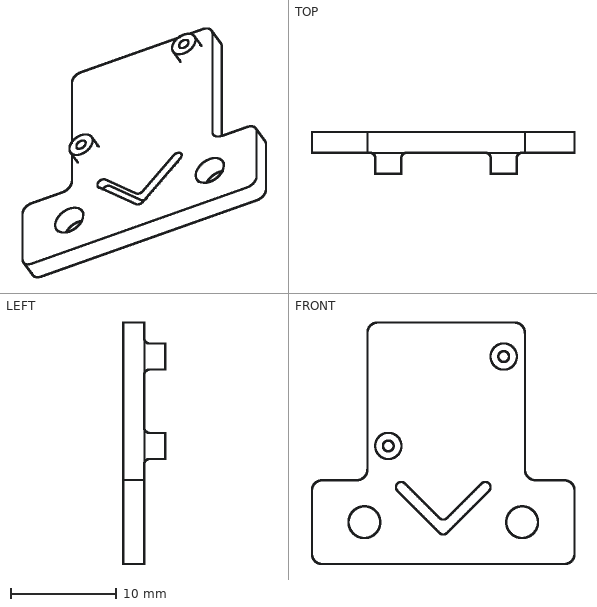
import cadquery as cq
import math

foot_width = 25
foot_height = 8
panel_width = 15
panel_offset = 0.28
total_height = 23
plate_thickness = 2
corner_radius = 1

mount_hole_diameter = 3
mount_hole_spacing = 15
mount_hole_height = foot_height / 2

pin_centres = [(-5.22, 11.25), (5.75, 19.75)]
pin_diameter = 2.5
pin_length = 2
pin_bore_diameter = 1
pin_root_radius = 0.5

groove_width = 1
groove_depth = 1
groove_half_span = 4
groove_tip_height = 3.32
groove_bend_radius = 0.5


def extrude_back(sketch, depth):
    """Extrude an XZ sketch towards +Y."""
    return sketch.extrude(-depth)


def make_plate():
    foot = cq.Workplane("XZ").center(0, foot_height / 2).rect(foot_width, foot_height)
    panel = cq.Workplane("XZ").center(panel_offset, total_height / 2).rect(panel_width, total_height)
    plate = extrude_back(foot, plate_thickness).union(extrude_back(panel, plate_thickness))
    return plate.edges("|Y").fillet(corner_radius)


def make_pin(x, z):
    """Turn a pin whose root flares out into the plate with a concave fillet."""
    pin_radius = pin_diameter / 2
    root_radius = pin_radius + pin_root_radius
    inset = pin_root_radius * (1 - math.sqrt(0.5))
    profile = (
        cq.Workplane("XY")
        .moveTo(0, plate_thickness / 2)
        .lineTo(root_radius, plate_thickness / 2)
        .lineTo(root_radius, 0)
        .threePointArc((pin_radius + inset, -inset), (pin_radius, -pin_root_radius))
        .lineTo(pin_radius, -pin_length)
        .lineTo(0, -pin_length)
        .close()
    )
    return profile.revolve(360, (0, 0), (0, 1)).translate((x, 0, z))


def make_groove():
    half_width = groove_width / 2
    edge_rise = half_width * math.sqrt(2)
    end_offset = half_width / math.sqrt(2)
    end_height = groove_tip_height + groove_half_span
    cap_x = groove_half_span + end_offset
    cap_z = groove_tip_height + cap_x
    outline = (
        cq.Workplane("XZ")
        .moveTo(0, groove_tip_height - edge_rise)
        .lineTo(cap_x, end_height - end_offset)
        .threePointArc((cap_x, cap_z), (groove_half_span - end_offset, end_height + end_offset))
        .lineTo(0, groove_tip_height + edge_rise)
        .lineTo(-groove_half_span + end_offset, end_height + end_offset)
        .threePointArc((-cap_x, cap_z), (-cap_x, end_height - end_offset))
        .close()
    )
    groove = extrude_back(outline, groove_depth)
    middle = cq.selectors.BoxSelector(
        (-half_width, 0, 0),
        (half_width, groove_depth, total_height),
    )
    bend_edges = groove.edges("|Y").edges(middle)
    return bend_edges.fillet(groove_bend_radius)


def make_hole(x, z, diameter):
    """Cutter running through the plate and any pin in front of it."""
    cutter = cq.Workplane("XZ", origin=(x, -pin_length, z)).circle(diameter / 2)
    return extrude_back(cutter, pin_length + plate_thickness)


result = make_plate()
for pin_x, pin_z in pin_centres:
    result = result.union(make_pin(pin_x, pin_z))
    result = result.cut(make_hole(pin_x, pin_z, pin_bore_diameter))
for side in (-1, 1):
    hole_x = side * mount_hole_spacing / 2
    result = result.cut(make_hole(hole_x, mount_hole_height, mount_hole_diameter))
result = result.cut(make_groove())